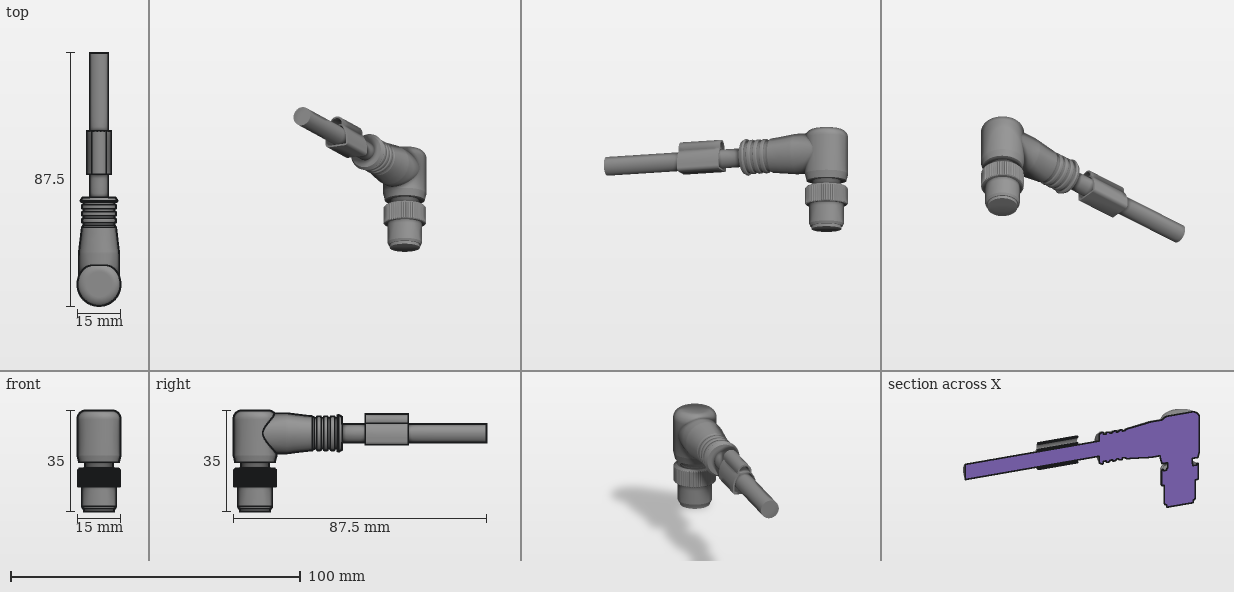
import cadquery as cq
import math


HEAD_RADIUS = 7.5
HEAD_TOP = 7.95
HEAD_HEIGHT = 18.0
HEAD_TOP_FILLET = 3.0
HEAD_TAPER_HEIGHT = 2.4
HEAD_TAPER_INSET = 0.6
HEAD_BOTTOM = HEAD_TOP - HEAD_HEIGHT

NECK_RADIUS = 4.85
NECK_LENGTH = 2.0
COLLAR_RADIUS = 5.1
COLLAR_RISE = 0.1

NUT_RADIUS = 7.35
NUT_HEIGHT = 6.4
NUT_TOP_CHAMFER = 0.7
NUT_BOTTOM_CHAMFER = 0.3
NUT_RECESS_RADIUS = 6.3
NUT_RECESS_DEPTH = 0.6
NUT_TOP = HEAD_BOTTOM - NECK_LENGTH
NUT_BOTTOM = NUT_TOP - NUT_HEIGHT
KNURL_COUNT = 56
KNURL_DEPTH = 0.4
KNURL_WIDTH = 0.4
KNURL_OVERSHOOT = 0.1

PLUG_HEIGHT = 35.0
PLUG_BOTTOM = HEAD_TOP - PLUG_HEIGHT
TIP_RADIUS = 5.2
TIP_HEIGHT = 1.0
THREAD_RADIUS = 6.0
THREAD_CHAMFER_HEIGHT = 0.85
THREAD_CHAMFER_INSET = 0.4
THREAD_BOTTOM = PLUG_BOTTOM + TIP_HEIGHT

BARREL_RADIUS = 7.0
BARREL_END = 10.95
BARREL_BLEND = 3.8
CONE_END = 19.7
RIB_RADIUS = 5.95
BOOT_CORE_RADIUS = 5.4
RIB_COUNT = 3
RIB_PITCH = 2.38
RIB_WIDTH = 1.5
RIB_FILLET = 0.45
LIP_WIDTH = 0.7
FIRST_RIB_GAP = 0.9
FIRST_RIB_START = CONE_END + LIP_WIDTH + FIRST_RIB_GAP
FLANGE_START = 28.4
FLANGE_PEAK = 28.9
FLANGE_END = 30.1
FLANGE_RADIUS = 6.4
FLANGE_BACK_RADIUS = 6.15
FLANGE_FACE_RADIUS = 5.7

CABLE_RADIUS = 3.25
CABLE_END = 80.0

CLIP_START = 38.0
CLIP_LENGTH = 15.0
CLIP_WALL = 0.6
CLIP_HALF_WIDTH = 4.25
CLIP_LOBE_RADIUS = 2.5
CLIP_LOBE_CENTRE = 4.2
CLIP_SHOULDER = 3.4
CLIP_FLOOR_BOTTOM = 3.2
CLIP_SIDE_TOP = -1.35
CLIP_BOTTOM = -4.0
CLIP_CORNER_RADIUS = 1.1


def make_head():
    """Domed cylinder with a short taper below it."""
    head = (
        cq.Workplane("XY", origin=(0, 0, HEAD_BOTTOM + HEAD_TAPER_HEIGHT))
        .circle(HEAD_RADIUS)
        .extrude(HEAD_HEIGHT - HEAD_TAPER_HEIGHT)
        .faces(">Z")
        .edges()
        .fillet(HEAD_TOP_FILLET)
    )
    taper = (
        cq.Workplane("XY", origin=(0, 0, HEAD_BOTTOM))
        .circle(HEAD_RADIUS - HEAD_TAPER_INSET)
        .workplane(offset=HEAD_TAPER_HEIGHT)
        .circle(HEAD_RADIUS)
        .loft()
    )
    return head.union(taper)


def make_plug_core():
    """Neck, collar, thread and tip as one revolved profile about Z."""
    collar_top = NUT_TOP + COLLAR_RISE
    thread_chamfer_top = THREAD_BOTTOM + THREAD_CHAMFER_HEIGHT
    profile = [
        (0, HEAD_BOTTOM),
        (NECK_RADIUS, HEAD_BOTTOM),
        (NECK_RADIUS, collar_top),
        (COLLAR_RADIUS, collar_top),
        (COLLAR_RADIUS, NUT_BOTTOM),
        (THREAD_RADIUS, NUT_BOTTOM),
        (THREAD_RADIUS, thread_chamfer_top),
        (THREAD_RADIUS - THREAD_CHAMFER_INSET, THREAD_BOTTOM),
        (TIP_RADIUS, THREAD_BOTTOM),
        (TIP_RADIUS, PLUG_BOTTOM),
        (0, PLUG_BOTTOM),
    ]
    return cq.Workplane("XZ").polyline(profile).close().revolve(360, (0, 0), (0, 1))


def make_nut():
    """Knurled ring with chamfered rims and a shallow recess around the neck."""
    nut = (
        cq.Workplane("XY", origin=(0, 0, NUT_BOTTOM))
        .circle(NUT_RADIUS)
        .extrude(NUT_HEIGHT)
        .faces(">Z")
        .chamfer(NUT_TOP_CHAMFER)
        .faces("<Z")
        .chamfer(NUT_BOTTOM_CHAMFER)
    )
    recess = (
        cq.Workplane("XY", origin=(0, 0, NUT_TOP - NUT_RECESS_DEPTH))
        .circle(NUT_RECESS_RADIUS)
        .extrude(NUT_RECESS_DEPTH)
    )
    outer_radius = NUT_RADIUS + KNURL_OVERSHOOT
    half_width = KNURL_WIDTH / 2 * (1 + KNURL_OVERSHOOT / KNURL_DEPTH)
    half_pitch = 180 / KNURL_COUNT
    grooves = (
        cq.Workplane("XY", origin=(0, 0, NUT_BOTTOM))
        .polarArray(0, half_pitch, 360, KNURL_COUNT)
        .eachpoint(
            lambda place: cq.Workplane("XY")
            .polyline(
                [
                    (NUT_RADIUS - KNURL_DEPTH, 0),
                    (outer_radius, half_width),
                    (outer_radius, -half_width),
                ]
            )
            .close()
            .extrude(NUT_HEIGHT)
            .val()
            .moved(place)
        )
    )
    return nut.cut(recess).cut(grooves)


def make_boot():
    """Barrel, cone, grooved strain relief and end flange, revolved about Y."""
    profile = [
        (0, 0),
        (BARREL_RADIUS, 0),
        (BARREL_RADIUS, BARREL_END),
        (RIB_RADIUS, CONE_END),
        (RIB_RADIUS - RIB_FILLET, CONE_END + LIP_WIDTH),
        (BOOT_CORE_RADIUS, CONE_END + LIP_WIDTH),
        (BOOT_CORE_RADIUS, FLANGE_START),
        (FLANGE_BACK_RADIUS, FLANGE_START),
        (FLANGE_RADIUS, FLANGE_PEAK),
        (FLANGE_FACE_RADIUS, FLANGE_END),
        (0, FLANGE_END),
    ]
    boot = cq.Workplane("XY").polyline(profile).close().revolve(360, (0, 0), (0, 1))
    cone_start = cq.selectors.NearestToPointSelector((0, BARREL_END, 0))
    return boot.edges(cone_start).fillet(BARREL_BLEND)


def cylinder_along_y(radius, start, length):
    return cq.Workplane("XZ", origin=(0, start, 0)).circle(radius).extrude(-length)


def make_rib(start):
    """Rounded ring of the strain relief."""
    return cylinder_along_y(RIB_RADIUS, start, RIB_WIDTH).edges().fillet(RIB_FILLET)


def clip_lobe(inset):
    """Upper lobe of the clip, drawn in by the given inset."""
    radius = CLIP_LOBE_RADIUS - inset
    floor = CLIP_FLOOR_BOTTOM + inset
    return (
        cq.Workplane("XZ", origin=(0, CLIP_START, 0))
        .moveTo(-radius, floor)
        .lineTo(-radius, CLIP_LOBE_CENTRE)
        .threePointArc((0, CLIP_LOBE_CENTRE + radius), (radius, CLIP_LOBE_CENTRE))
        .lineTo(radius, floor)
        .close()
        .extrude(-CLIP_LENGTH)
    )


def clip_body(inset, top):
    """Lower part of the clip around the cable, drawn in by the given inset."""
    rise = CLIP_SHOULDER - CLIP_SIDE_TOP
    run = CLIP_HALF_WIDTH - CLIP_LOBE_RADIUS
    side_radius = (rise**2 + run**2) / (2 * run)
    arc_centre = CLIP_HALF_WIDTH - side_radius

    def side_at(height):
        return arc_centre + math.sqrt((side_radius - inset) ** 2 - (height - CLIP_SIDE_TOP) ** 2)

    wall = CLIP_HALF_WIDTH - inset
    bottom = CLIP_BOTTOM + inset
    middle = (top + CLIP_SIDE_TOP) / 2
    return (
        cq.Workplane("XZ", origin=(0, CLIP_START, 0))
        .moveTo(-side_at(top), top)
        .threePointArc((-side_at(middle), middle), (-wall, CLIP_SIDE_TOP))
        .lineTo(-wall, bottom)
        .lineTo(wall, bottom)
        .lineTo(wall, CLIP_SIDE_TOP)
        .threePointArc((side_at(middle), middle), (side_at(top), top))
        .close()
        .extrude(-CLIP_LENGTH)
        .edges("<Z and |Y")
        .fillet(CLIP_CORNER_RADIUS - inset)
    )


def make_clip():
    """Thin-walled clip: an upper lobe above a floor that rests on the cable."""
    outside = clip_body(0, CLIP_SHOULDER).union(clip_lobe(0))
    return outside.cut(clip_body(CLIP_WALL, CLIP_FLOOR_BOTTOM)).cut(clip_lobe(CLIP_WALL))


result = make_head().union(make_plug_core()).union(make_nut()).union(make_boot())
for rib in range(RIB_COUNT):
    result = result.union(make_rib(FIRST_RIB_START + rib * RIB_PITCH))
result = result.union(cylinder_along_y(CABLE_RADIUS, 0, CABLE_END)).union(make_clip())